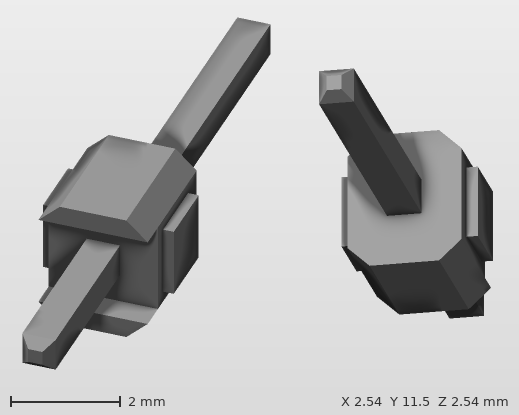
import cadquery as cq

pin_length = 11.54
pin_width = 0.65
tip_length = 0.2
tip_width = 0.28

housing_height = 2.54
housing_length = 2.54
housing_front = 3.0
housing_width = 2.12
flat_width = 1.29
lip_height = 0.38
lip_overhang = 0.53

pad_span = 2.54
pad_length = 1.29
pad_height = 1.35
pad_setback = 0.45

pin_front = -pin_length / 2
lip_front = pin_front + housing_front
housing_back = lip_front + housing_length
block_front = lip_front + lip_overhang
block_length = housing_back - block_front
block_middle = (block_front + housing_back) / 2
pad_middle = housing_back - pad_setback - pad_length / 2
block_height = housing_height - 2 * lip_height


def make_tip(direction):
    """Tapered pin end pointing along +Y (1) or -Y (-1)."""
    base = direction * (pin_length / 2 - tip_length)
    plane = cq.Plane(origin=(0, base, 0), xDir=(1, 0, 0), normal=(0, direction, 0))
    return (
        cq.Workplane(plane)
        .rect(pin_width, pin_width)
        .workplane(offset=tip_length)
        .rect(tip_width, tip_width)
        .loft(ruled=True)
    )


def make_pin():
    shaft = cq.Workplane("XY").box(pin_width, pin_length - 2 * tip_length, pin_width)
    return shaft.union(make_tip(1)).union(make_tip(-1))


def make_lip(side):
    """Trapezoidal lip on the top (side 1) or bottom (side -1) of the block."""
    inner = side * block_height / 2
    outer = side * housing_height / 2
    return (
        cq.Workplane("XZ", origin=(0, housing_back, 0))
        .polyline([
            (-housing_width / 2, inner),
            (housing_width / 2, inner),
            (flat_width / 2, outer),
            (-flat_width / 2, outer),
        ])
        .close()
        .extrude(housing_length)
    )


def make_housing():
    block = (
        cq.Workplane("XY", origin=(0, block_middle, 0))
        .box(housing_width, block_length, block_height)
    )
    pads = (
        cq.Workplane("XY", origin=(0, pad_middle, 0))
        .box(pad_span, pad_length, pad_height)
    )
    return block.union(pads).union(make_lip(1)).union(make_lip(-1))


result = make_housing().union(make_pin())